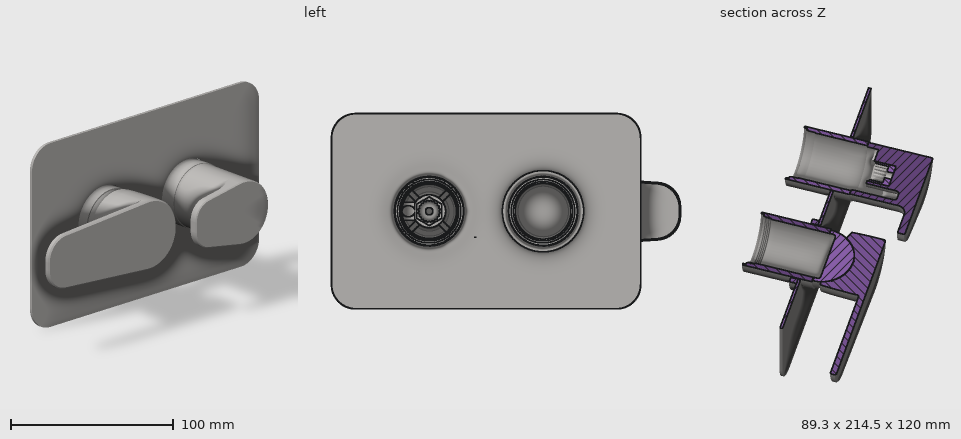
import cadquery as cq
import math


PLATE_WIDTH = 190.0
PLATE_HEIGHT = 120.0
PLATE_THICKNESS = 2.0
PLATE_CORNER_RADIUS = 15.0
AXIS_OFFSET = 35.0
KNOB_AXIS_Y = AXIS_OFFSET
LEVER_AXIS_Y = -AXIS_OFFSET

SLEEVE_DIAMETER = 42.0
PASSAGE_DIAMETER = 42.5
MOUTH_DIAMETER = 39.0
MOUTH_DEPTH = 2.0
SEAT_DIAMETER = 36.5
SEAT_DEPTH = 3.0
KNOB_SLEEVE_REAR = -29.2
KNOB_SLEEVE_FRONT = 12.2
KNOB_SLEEVE_RELIEF_DIAMETER = 35.8
KNOB_SLEEVE_RELIEF_DEPTH = 7.5
KNOB_SLEEVE_BORE_DIAMETER = 35.2
LEVER_SLEEVE_REAR = -35.8
LEVER_SLEEVE_FRONT = 9.0
LEVER_SLEEVE_BORE_DIAMETER = 34.3
THREAD_GROOVE_DIAMETER = 36.5
THREAD_PITCH = 1.0
THREAD_CREST = 0.2
THREAD_TURNS = 4

FLANGE_DIAMETER = 50.0
FLANGE_THICKNESS = 4.5

BALL_RADIUS = 20.2
CAP_FLOOR_DIAMETER = 31.0
CAP_FLOOR_X = 12.9

KNOB_DIAMETER = 41.0
KNOB_RADIUS = KNOB_DIAMETER / 2
KNOB_FRONT = 53.5
KNOB_BLADE_THICKNESS = 5.0
KNOB_BLADE_REACH = 40.3
KNOB_BLADE_TIP_RADIUS = 12.5
KNOB_BLADE_TAPER = 9.6
KNOB_FLARE_RADIUS = 5.1
KNOB_EDGE_CHAMFER = 0.6
KNOB_CAVITY_RADIUS = 16.7
KNOB_CAVITY_FLOOR_X = 40.7
KNOB_CAVITY_FILLET = 1.5

HUB_RADIUS = 10.0
HUB_REAR_X = 19.3
HUB_FILLET = 2.0
RIB_WIDTH = 3.5
RIB_REAR_X = 30.0
RIB_COUNT = 4
BLOCK_WIDTH = 11.2
BLOCK_INNER_RADIUS = 8.8
BLOCK_REAR_X = 17.2
BLOCK_POCKET_LENGTH = 8.1
BLOCK_POCKET_WIDTH = 6.9
BLOCK_POCKET_DEPTH = 2.1

INSERT_ACROSS_FLATS = 15.2
INSERT_REAR_X = 20.4
INSERT_LENGTH = 12.9
SPLINE_ROOT_DIAMETER = 13.7
SPLINE_TIP_DIAMETER = 12.5
SPLINE_TEETH = 20
SPLINE_DEPTH = 8.5
SCREW_HOLE_DIAMETER = 4.5

HANDLE_REAR = 14.2
HANDLE_REAR_RADIUS = 21.7
HANDLE_BULGE_X = 27.9
HANDLE_FRONT = 43.5
HANDLE_HUB_RADIUS = 22.5
HANDLE_BLADE_THICKNESS = 4.0
HANDLE_BLADE_REACH = 84.5
HANDLE_BLADE_TIP_RADIUS = 15.0
HANDLE_BLADE_TAPER = 4.0
HANDLE_FLARE_RADIUS = 1.0
HANDLE_EDGE_CHAMFER = 0.9
RELIEF_START_Y = 3.0
RELIEF_END_Y = 22.0
RELIEF_END_X = 21.7


def cylinder(diameter, rear, front):
    """Cylinder on the X axis between two X positions."""
    return cq.Workplane("YZ").workplane(offset=rear).circle(diameter / 2).extrude(front - rear)


def turned(profile):
    """Solid of revolution about the X axis from a closed (x, radius) profile."""
    return profile.close().revolve(360, (0, 0, 0), (1, 0, 0))


def blade(radius, reach, tip_radius, taper, rear, front, round_hub=True):
    """Slab towards -Y with a round-cornered tip and tapered sides that leave a hub circle tangentially.

    Without the round hub the slab ends on the straight line between the two tangent points.
    """
    angle = math.radians(taper)
    sine, cosine = math.sin(angle), math.cos(angle)
    corner_y = tip_radius - reach
    corner_z = (radius - tip_radius + corner_y * sine) / cosine
    middle = (math.pi + math.pi / 2 + angle) / 2
    hub_end = (-radius * sine, radius * cosine)
    corner_start = (corner_y - tip_radius * sine, corner_z + tip_radius * cosine)
    corner_middle = (corner_y + tip_radius * math.cos(middle), corner_z + tip_radius * math.sin(middle))
    corner_end = (-reach, corner_z)

    def mirrored(point):
        return (point[0], -point[1])

    outline = (
        cq.Workplane("YZ").workplane(offset=rear)
        .moveTo(*hub_end)
        .lineTo(*corner_start)
        .threePointArc(corner_middle, corner_end)
        .lineTo(*mirrored(corner_end))
        .threePointArc(mirrored(corner_middle), mirrored(corner_start))
        .lineTo(*mirrored(hub_end))
    )
    if round_hub:
        outline = outline.threePointArc((radius, 0), hub_end)
    return outline.close().extrude(front - rear)


def flare(radius, flare_radius, blade_shape, blade_rear):
    """Concave fillet from a barrel out to the rear of its blade, trimmed to the sides of the blade."""
    start = blade_rear - flare_radius
    ring = turned(
        cq.Workplane("XY")
        .moveTo(start, 0)
        .lineTo(start, radius)
        .radiusArc((blade_rear, radius + flare_radius), -flare_radius)
        .lineTo(blade_rear, 0)
    )
    return ring.intersect(blade(*blade_shape, start, blade_rear, round_hub=False))


def make_plate():
    return (
        cq.Workplane("YZ")
        .rect(PLATE_WIDTH, PLATE_HEIGHT)
        .extrude(PLATE_THICKNESS)
        .edges("|X").fillet(PLATE_CORNER_RADIUS)
        .faces("<X").workplane(origin=(0, 0, 0))
        .pushPoints([(KNOB_AXIS_Y, 0), (LEVER_AXIS_Y, 0)])
        .hole(PASSAGE_DIAMETER)
    )


def make_knob_sleeve():
    sleeve = cylinder(SLEEVE_DIAMETER, KNOB_SLEEVE_REAR, KNOB_SLEEVE_FRONT)
    steps = [
        (MOUTH_DIAMETER, KNOB_SLEEVE_REAR + MOUTH_DEPTH),
        (SEAT_DIAMETER, KNOB_SLEEVE_REAR + SEAT_DEPTH),
        (KNOB_SLEEVE_RELIEF_DIAMETER, KNOB_SLEEVE_REAR + KNOB_SLEEVE_RELIEF_DEPTH),
        (KNOB_SLEEVE_BORE_DIAMETER, KNOB_SLEEVE_FRONT),
    ]
    for diameter, end in steps:
        sleeve = sleeve.cut(cylinder(diameter, KNOB_SLEEVE_REAR, end))
    return sleeve


def make_lever_sleeve():
    sleeve = cylinder(SLEEVE_DIAMETER, LEVER_SLEEVE_REAR, LEVER_SLEEVE_FRONT)
    thread_start = LEVER_SLEEVE_REAR + SEAT_DEPTH
    steps = [
        (MOUTH_DIAMETER, LEVER_SLEEVE_REAR + MOUTH_DEPTH),
        (SEAT_DIAMETER, thread_start),
        (LEVER_SLEEVE_BORE_DIAMETER, LEVER_SLEEVE_FRONT),
    ]
    for diameter, end in steps:
        sleeve = sleeve.cut(cylinder(diameter, LEVER_SLEEVE_REAR, end))
    bore_radius = LEVER_SLEEVE_BORE_DIAMETER / 2
    groove_width = THREAD_PITCH - THREAD_CREST
    for turn in range(THREAD_TURNS):
        start = thread_start + turn * THREAD_PITCH + THREAD_CREST
        groove = turned(
            cq.Workplane("XY")
            .moveTo(start, bore_radius)
            .lineTo(start + groove_width / 2, THREAD_GROOVE_DIAMETER / 2)
            .lineTo(start + groove_width, bore_radius)
        )
        sleeve = sleeve.cut(groove)
    return sleeve


def make_flange():
    return cylinder(FLANGE_DIAMETER, -FLANGE_THICKNESS, 0).cut(
        cylinder(PASSAGE_DIAMETER, -FLANGE_THICKNESS, 0)
    )


def make_ball():
    """Front half of the ball, seated on the end of the lever sleeve."""
    return turned(
        cq.Workplane("XY")
        .moveTo(LEVER_SLEEVE_FRONT, 0)
        .lineTo(LEVER_SLEEVE_FRONT, BALL_RADIUS)
        .radiusArc((LEVER_SLEEVE_FRONT + BALL_RADIUS, 0), BALL_RADIUS)
    )


def make_ball_cap():
    floor_fillet = (LEVER_SLEEVE_BORE_DIAMETER - CAP_FLOOR_DIAMETER) / 2
    recess = cylinder(LEVER_SLEEVE_BORE_DIAMETER, LEVER_SLEEVE_FRONT, CAP_FLOOR_X)
    recess = recess.faces(">X").edges().fillet(floor_fillet)
    return make_ball().cut(recess)


def make_insert_blank():
    across_corners = INSERT_ACROSS_FLATS / math.cos(math.pi / 6)
    return (
        cq.Workplane("YZ").workplane(offset=INSERT_REAR_X)
        .polygon(6, across_corners)
        .extrude(INSERT_LENGTH)
        .rotate((0, 0, 0), (1, 0, 0), 90)
    )


def make_insert():
    spline_points = []
    for step in range(2 * SPLINE_TEETH):
        diameter = SPLINE_ROOT_DIAMETER if step % 2 else SPLINE_TIP_DIAMETER
        angle = step * math.pi / SPLINE_TEETH
        spline_points.append((diameter / 2 * math.cos(angle), diameter / 2 * math.sin(angle)))
    spline = (
        cq.Workplane("YZ").workplane(offset=INSERT_REAR_X)
        .polyline(spline_points).close()
        .extrude(SPLINE_DEPTH)
    )
    screw_hole = cylinder(SCREW_HOLE_DIAMETER, INSERT_REAR_X, INSERT_REAR_X + INSERT_LENGTH)
    return make_insert_blank().cut(spline).cut(screw_hole)


def make_knob_core():
    """Hub, ribs and pocketed block standing on the floor of the knob cavity."""
    fillet_start = KNOB_CAVITY_FLOOR_X - HUB_FILLET
    core = turned(
        cq.Workplane("XY")
        .moveTo(HUB_REAR_X, 0)
        .lineTo(HUB_REAR_X, HUB_RADIUS)
        .lineTo(fillet_start, HUB_RADIUS)
        .radiusArc((KNOB_CAVITY_FLOOR_X, HUB_RADIUS + HUB_FILLET), -HUB_FILLET)
        .lineTo(KNOB_CAVITY_FLOOR_X, 0)
    )
    wall_overlap = (KNOB_CAVITY_RADIUS + KNOB_RADIUS) / 2
    for index in range(RIB_COUNT):
        rib = cq.Workplane("XY").box(
            KNOB_CAVITY_FLOOR_X - RIB_REAR_X, wall_overlap, RIB_WIDTH, centered=(False, False, True)
        )
        rib_angle = (index + 0.5) * 360 / RIB_COUNT
        core = core.union(rib.translate((RIB_REAR_X, 0, 0)).rotate((0, 0, 0), (1, 0, 0), rib_angle))
    block_length = wall_overlap - BLOCK_INNER_RADIUS
    block = (
        cq.Workplane("XY")
        .box(KNOB_CAVITY_FLOOR_X - BLOCK_REAR_X, block_length, BLOCK_WIDTH, centered=(False, False, True))
        .translate((BLOCK_REAR_X, BLOCK_INNER_RADIUS, 0))
    )
    pocket_y = (BLOCK_INNER_RADIUS + KNOB_CAVITY_RADIUS) / 2
    pocket = (
        cq.Workplane("YZ").workplane(offset=BLOCK_REAR_X)
        .center(pocket_y, 0)
        .ellipse(BLOCK_POCKET_LENGTH / 2, BLOCK_POCKET_WIDTH / 2)
        .extrude(BLOCK_POCKET_DEPTH)
    )
    return core.union(block).cut(pocket)


def make_knob():
    blade_rear = KNOB_FRONT - KNOB_BLADE_THICKNESS
    blade_shape = (KNOB_RADIUS, KNOB_BLADE_REACH, KNOB_BLADE_TIP_RADIUS, KNOB_BLADE_TAPER)
    barrel = cylinder(KNOB_DIAMETER, KNOB_SLEEVE_FRONT, blade_rear)
    barrel = barrel.union(flare(KNOB_RADIUS, KNOB_FLARE_RADIUS, blade_shape, blade_rear))
    slab = blade(*blade_shape, blade_rear, KNOB_FRONT).faces(">X").edges().chamfer(KNOB_EDGE_CHAMFER)
    cavity = cylinder(2 * KNOB_CAVITY_RADIUS, KNOB_SLEEVE_FRONT, KNOB_CAVITY_FLOOR_X)
    cavity = cavity.faces(">X").edges().fillet(KNOB_CAVITY_FILLET)
    knob = barrel.union(slab).cut(cavity).union(make_knob_core())
    socket_entry = make_insert_blank().translate((HUB_REAR_X - INSERT_REAR_X, 0, 0))
    return knob.cut(make_insert_blank()).cut(socket_entry)


def make_handle():
    blade_rear = HANDLE_FRONT - HANDLE_BLADE_THICKNESS
    blade_shape = (HANDLE_HUB_RADIUS, HANDLE_BLADE_REACH, HANDLE_BLADE_TIP_RADIUS, HANDLE_BLADE_TAPER)
    hub_front = HANDLE_FRONT - HANDLE_EDGE_CHAMFER
    barrel = turned(
        cq.Workplane("XY")
        .moveTo(HANDLE_REAR, 0)
        .lineTo(HANDLE_REAR, HANDLE_REAR_RADIUS)
        .threePointArc((HANDLE_BULGE_X, HANDLE_HUB_RADIUS), (hub_front, HANDLE_HUB_RADIUS))
        .lineTo(hub_front, 0)
    )
    slab = blade(*blade_shape, blade_rear, HANDLE_FRONT)
    slab = slab.faces("<X or >X").edges().chamfer(HANDLE_EDGE_CHAMFER)
    slope = (RELIEF_END_X - HANDLE_REAR) / (RELIEF_END_Y - RELIEF_START_Y)
    wedge_y = 2 * RELIEF_END_Y
    wedge = (
        cq.Workplane("XY")
        .polyline([
            (HANDLE_REAR, RELIEF_START_Y),
            (HANDLE_REAR, wedge_y),
            (HANDLE_REAR + slope * (wedge_y - RELIEF_START_Y), wedge_y),
        ])
        .close()
        .extrude(2 * HANDLE_HUB_RADIUS, both=True)
    )
    fillet = flare(HANDLE_HUB_RADIUS, HANDLE_FLARE_RADIUS, blade_shape, blade_rear)
    return barrel.cut(wedge).union(slab).union(fillet).cut(make_ball())


on_knob_axis = (0, KNOB_AXIS_Y, 0)
on_lever_axis = (0, LEVER_AXIS_Y, 0)

plate = make_plate()
knob_sleeve = make_knob_sleeve().translate(on_knob_axis)
knob = make_knob().translate(on_knob_axis)
insert = make_insert().translate(on_knob_axis)
flange = make_flange().translate(on_lever_axis)
lever_sleeve = make_lever_sleeve().translate(on_lever_axis)
ball_cap = make_ball_cap().translate(on_lever_axis)
handle = make_handle().translate(on_lever_axis)

result = cq.Compound.makeCompound([
    plate.val(),
    knob_sleeve.val(),
    knob.val(),
    insert.val(),
    flange.val(),
    lever_sleeve.val(),
    ball_cap.val(),
    handle.val(),
])